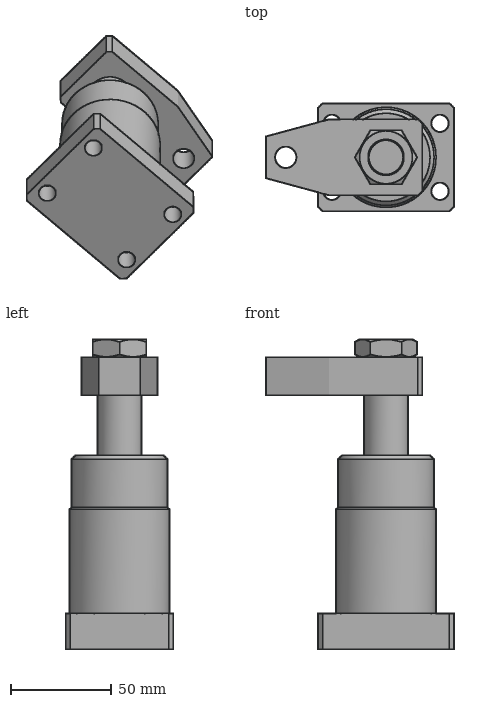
import cadquery as cq
import math

FLANGE_TOP = 18.0
BARREL_TOP = 71.0
COLLAR_TOP = 97.0
LEVER_BOTTOM = 127.0
LEVER_TOP = 146.0
NUT_TOP = 155.0

FLANGE_LENGTH = 68.0
FLANGE_WIDTH = 54.0
FLANGE_CHAMFER = 2.3
BOLT_HOLE_DIAMETER = 8.5
BOLT_SPACING_X = 54.0
BOLT_SPACING_Y = 34.0
BARREL_DIAMETER = 50.0
COLLAR_DIAMETER = 48.0
BARREL_CHAMFER = (BARREL_DIAMETER - COLLAR_DIAMETER) / 2
COLLAR_CHAMFER = 2.0

ROD_DIAMETER = 22.0
STUD_DIAMETER = 18.0
STUD_CHAMFER = 0.5

LEVER_TIP_X = -60.0
LEVER_TAPER_X = -28.5
LEVER_HEEL_X = 18.1
LEVER_WIDTH = 38.0
LEVER_TIP_WIDTH = 21.0
HEEL_RADIUS = 24.8
TIP_HOLE_X = -50.0
TIP_HOLE_DIAMETER = 10.5

NUT_ACROSS_FLATS = 27.0
NUT_FACE_DIAMETER = 26.4
NUT_CHAMFER_ANGLE = 30


def make_housing():
    flange = (
        cq.Workplane("XY")
        .rect(FLANGE_LENGTH, FLANGE_WIDTH)
        .extrude(FLANGE_TOP)
        .edges("|Z")
        .chamfer(FLANGE_CHAMFER)
    )
    barrel = (
        cq.Workplane("XY")
        .circle(BARREL_DIAMETER / 2)
        .extrude(BARREL_TOP)
        .faces(">Z")
        .chamfer(BARREL_CHAMFER)
    )
    collar = (
        cq.Workplane("XY")
        .circle(COLLAR_DIAMETER / 2)
        .extrude(COLLAR_TOP)
        .faces(">Z")
        .chamfer(COLLAR_CHAMFER)
    )
    bolt_holes = (
        cq.Workplane("XY")
        .rect(BOLT_SPACING_X, BOLT_SPACING_Y, forConstruction=True)
        .vertices()
        .circle(BOLT_HOLE_DIAMETER / 2)
        .extrude(FLANGE_TOP)
    )
    return flange.cut(bolt_holes).union(barrel).union(collar)


def make_rod():
    shank = (
        cq.Workplane("XY", origin=(0, 0, COLLAR_TOP))
        .circle(ROD_DIAMETER / 2)
        .extrude(LEVER_BOTTOM - COLLAR_TOP)
    )
    stud = (
        cq.Workplane("XY", origin=(0, 0, LEVER_BOTTOM))
        .circle(STUD_DIAMETER / 2)
        .extrude(NUT_TOP - LEVER_BOTTOM)
        .faces(">Z")
        .chamfer(STUD_CHAMFER)
    )
    return shank.union(stud)


def make_lever():
    half_width = LEVER_WIDTH / 2
    half_tip = LEVER_TIP_WIDTH / 2
    corner_angle = (math.asin(half_width / HEEL_RADIUS) + math.acos(LEVER_HEEL_X / HEEL_RADIUS)) / 2
    arc_start_x = math.sqrt(HEEL_RADIUS**2 - half_width**2)
    arc_end_y = math.sqrt(HEEL_RADIUS**2 - LEVER_HEEL_X**2)
    arc_mid_x = HEEL_RADIUS * math.cos(corner_angle)
    arc_mid_y = HEEL_RADIUS * math.sin(corner_angle)
    thickness = LEVER_TOP - LEVER_BOTTOM
    base_plane = cq.Workplane("XY", origin=(0, 0, LEVER_BOTTOM))
    arm = (
        base_plane.moveTo(LEVER_TIP_X, -half_tip)
        .lineTo(LEVER_TAPER_X, -half_width)
        .lineTo(arc_start_x, -half_width)
        .threePointArc((arc_mid_x, -arc_mid_y), (LEVER_HEEL_X, -arc_end_y))
        .lineTo(LEVER_HEEL_X, arc_end_y)
        .threePointArc((arc_mid_x, arc_mid_y), (arc_start_x, half_width))
        .lineTo(LEVER_TAPER_X, half_width)
        .lineTo(LEVER_TIP_X, half_tip)
        .close()
        .extrude(thickness)
    )
    stud_hole = base_plane.circle(STUD_DIAMETER / 2).extrude(thickness)
    tip_hole = base_plane.center(TIP_HOLE_X, 0).circle(TIP_HOLE_DIAMETER / 2).extrude(thickness)
    return arm.cut(stud_hole).cut(tip_hole)


def make_nut():
    height = NUT_TOP - LEVER_TOP
    corner_radius = NUT_ACROSS_FLATS / math.sqrt(3)
    chamfer_width = corner_radius - NUT_FACE_DIAMETER / 2
    chamfer_height = chamfer_width * math.tan(math.radians(NUT_CHAMFER_ANGLE))
    base_plane = cq.Workplane("XY", origin=(0, 0, LEVER_TOP))
    hexagon = base_plane.polygon(6, 2 * corner_radius).extrude(height)
    blank = (
        base_plane.circle(corner_radius)
        .extrude(height)
        .edges("%CIRCLE")
        .chamfer(chamfer_height, chamfer_width)
    )
    bore = base_plane.circle(STUD_DIAMETER / 2).extrude(height)
    return hexagon.intersect(blank).cut(bore)


housing = make_housing()
rod = make_rod()
lever = make_lever()
nut = make_nut()

result = cq.Compound.makeCompound([housing.val(), rod.val(), lever.val(), nut.val()])